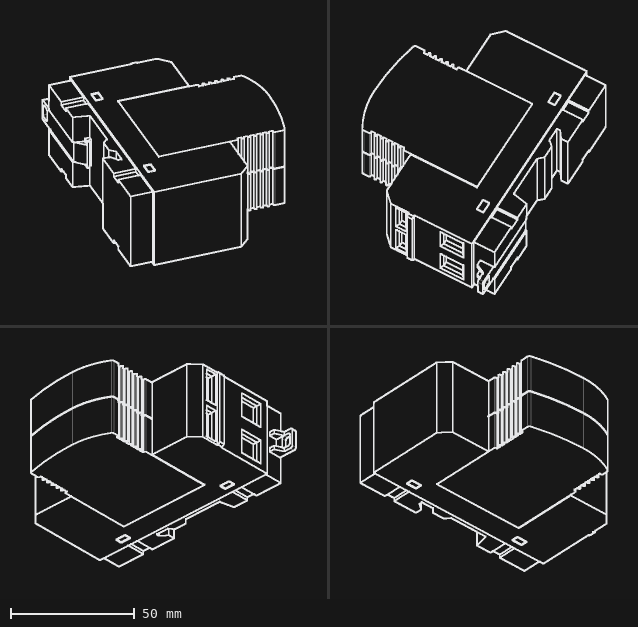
import cadquery as cq
import math


TOTAL_LENGTH = 100.5
TOTAL_HEIGHT = 79.5
WIDTH = 35.0
POLE_SIGNS = (-1, 1)

HOUSING_LENGTH = 93.2
HOUSING_BOTTOM = 9.6
HOUSING_TOP = 52.0
TOP_CHAMFER = 4.5
HOUSING_LEFT = -HOUSING_LENGTH / 2

PLUG_LENGTH = 44.7
PLUG_BOTTOM = 21.1
PLUG_GAP = 0.3
CROWN_X = -4.3
CROWN_RADIUS_LEFT = 36.2
CROWN_RADIUS_RIGHT = 102.5
CROWN_CORNER_RADIUS = 1.1
GRIP_TOP = 71.1
GRIP_DEPTH = 1.2
GRIP_GROOVE = 1.8
GRIP_RIB = 0.9
GRIP_PITCH = GRIP_GROOVE + GRIP_RIB
GRIP_COUNT = 6
GRIP_EDGE_RADIUS = 0.44
RECESS_CLEARANCE = 0.3

FOOT_END_INSET = 1.5
FOOT_SIDE_INSET = 0.75
FOOT_WIDTH = WIDTH - 2 * FOOT_SIDE_INSET
FOOT_LEFT = HOUSING_LEFT + FOOT_END_INSET
FOOT_RIGHT = -FOOT_LEFT

RAIL_CEILING = 6.9
RAIL_LEFT_BOTTOM = -19.0
RAIL_LEFT_TOP = -17.5
RAIL_RIGHT = 17.6
LIP_X = 14.4
LIP_HEIGHT = 3.1
LIP_SLOPE_TOP = 5.4
BUMP_CENTRE = 6.4
BUMP_BOTTOM = 4.6
BUMP_TIP_LENGTH = 5.8
BUMP_ROOT_LENGTH = 10

SNAP_X = 28.9
SNAP_LENGTH = 5
WINDOW_BOTTOM = 13.1
WINDOW_HEIGHT = 3
NOTCH_DEPTH = 1.5
WINDOW_DEPTH = 0.4

BAR_DEPTH = 1.5
BAR_BOTTOM = 36.6
BAR_HEIGHT = 2.4
BAR_CHAMFER = 1

TERMINAL_Z = 8.7
SCREW_CENTRE_Y = 42.5
SCREW_HEIGHT = 5.2
SCREW_WIDTH = 14.9
WIRE_CENTRE_Y = 19.0
WIRE_HEIGHT = 11.1
WIRE_WIDTH = 11.3
FUNNEL_INSET = 1.1
FUNNEL_DEPTH = FUNNEL_INSET
TERMINAL_DEPTH = 3

CLIP_WIDTH = 9.4
CLIP_LEFT = HOUSING_LENGTH / 2 - TOTAL_LENGTH
CLIP_BOTTOM = 0.5
CLIP_THICKNESS = 2.2
CLIP_CORNER_RADIUS = 1
EYE_LEFT = -52.6
EYE_LENGTH = 4.2
EYE_WIDTH = 5.9
EYE_CORNER_RADIUS = 1
RIB_TOP = 6.6
RIB_WIDTH = 1.8
RIB_FOOT_X = -49.4
RIB_TOP_X = -47.5
HOOK_WIDTH = 12.5
HOOK_TIP_X = -14.8
HOOK_BOTTOM = 4.8
HOOK_TIP_TOP = 5.7
HOOK_STEP_X = -16.0

CUT_MARGIN = 1
GRIP_MARGIN = 0.1


def prism(points, z_width, z_centre=0):
    """Extrude an XY outline across Z, centred on z_centre."""
    outline = cq.Workplane("XY").polyline(points).close()
    return outline.extrude(z_width / 2, both=True).translate((0, 0, z_centre))


def block(x_min, x_max, y_min, y_max, z_width, z_centre=0):
    """Box given by its X and Y limits, centred on z_centre."""
    box = cq.Workplane("XY").box(x_max - x_min, y_max - y_min, z_width)
    return box.translate(((x_min + x_max) / 2, (y_min + y_max) / 2, z_centre))


def rail_wall_x(y):
    """X of the sloping left wall of the rail opening at height y."""
    return RAIL_LEFT_BOTTOM + (RAIL_LEFT_TOP - RAIL_LEFT_BOTTOM) * y / RAIL_CEILING


def make_housing_block():
    shell = block(HOUSING_LEFT, -HOUSING_LEFT, HOUSING_BOTTOM, HOUSING_TOP, WIDTH)
    shell = shell.edges("|Z and >Y").chamfer(TOP_CHAMFER)
    recess = block(
        -PLUG_LENGTH / 2 - RECESS_CLEARANCE,
        PLUG_LENGTH / 2,
        PLUG_BOTTOM,
        HOUSING_TOP + CUT_MARGIN,
        WIDTH + CUT_MARGIN,
    )
    return shell.cut(recess)


def make_foot():
    bump_root = BUMP_ROOT_LENGTH / 2
    bump_tip = BUMP_TIP_LENGTH / 2
    return prism(
        [
            (FOOT_LEFT, HOUSING_BOTTOM),
            (FOOT_LEFT, 0),
            (RAIL_LEFT_BOTTOM, 0),
            (RAIL_LEFT_TOP, RAIL_CEILING),
            (BUMP_CENTRE - bump_root, RAIL_CEILING),
            (BUMP_CENTRE - bump_tip, BUMP_BOTTOM),
            (BUMP_CENTRE + bump_tip, BUMP_BOTTOM),
            (BUMP_CENTRE + bump_root, RAIL_CEILING),
            (RAIL_RIGHT, RAIL_CEILING),
            (RAIL_RIGHT, LIP_SLOPE_TOP),
            (LIP_X, LIP_HEIGHT),
            (LIP_X, 0),
            (FOOT_RIGHT, 0),
            (FOOT_RIGHT, HOUSING_BOTTOM),
        ],
        FOOT_WIDTH,
    )


def make_snap_cuts():
    """Foot notches and housing windows, on both sides and near both ends."""
    cuts = cq.Workplane("XY")
    for x_sign in (-1, 1):
        x_min = x_sign * SNAP_X - SNAP_LENGTH / 2
        x_max = x_min + SNAP_LENGTH
        for z_sign in (-1, 1):
            notch = block(x_min, x_max, 0, HOUSING_BOTTOM, 2 * NOTCH_DEPTH, z_sign * FOOT_WIDTH / 2)
            window = block(
                x_min,
                x_max,
                WINDOW_BOTTOM,
                WINDOW_BOTTOM + WINDOW_HEIGHT,
                2 * WINDOW_DEPTH,
                z_sign * WIDTH / 2,
            )
            cuts = cuts.add(notch).add(window)
    return cuts.combine()


def make_marking_bar():
    bar = block(HOUSING_LEFT - BAR_DEPTH, HOUSING_LEFT, BAR_BOTTOM, BAR_BOTTOM + BAR_HEIGHT, WIDTH)
    return bar.edges("|Y and <X").chamfer(BAR_CHAMFER)


def make_terminal_opening(y_centre, z_centre, height, width):
    """Funnel-mouthed rectangular pocket, cut inward from the left end."""
    mouth_plane = cq.Plane(origin=(HOUSING_LEFT, y_centre, z_centre), xDir=(0, 1, 0), normal=(1, 0, 0))
    inner_height = height - 2 * FUNNEL_INSET
    inner_width = width - 2 * FUNNEL_INSET
    funnel = (
        cq.Workplane(mouth_plane)
        .rect(height, width)
        .workplane(offset=FUNNEL_DEPTH)
        .rect(inner_height, inner_width)
        .loft(ruled=True)
    )
    shaft = cq.Workplane(mouth_plane).rect(inner_height, inner_width).extrude(TERMINAL_DEPTH)
    return funnel.union(shaft)


def make_clip_channel():
    """Shallow channel under the foot that sets the clip bar back from the underside."""
    return block(FOOT_LEFT, RAIL_LEFT_TOP, 0, CLIP_BOTTOM, CLIP_WIDTH)


def make_clip():
    """Outer pull tab with its eye and side ribs, and the hook in the rail opening."""
    tab = block(CLIP_LEFT, FOOT_LEFT, CLIP_BOTTOM, CLIP_BOTTOM + CLIP_THICKNESS, CLIP_WIDTH)
    tab = tab.edges("|Y and <X").fillet(CLIP_CORNER_RADIUS)
    eye = block(EYE_LEFT, EYE_LEFT + EYE_LENGTH, 0, RIB_TOP, EYE_WIDTH)
    eye = eye.edges("|Y").fillet(EYE_CORNER_RADIUS)
    clip = tab.cut(eye)

    rib_outline = [
        (RIB_FOOT_X, CLIP_BOTTOM + CLIP_THICKNESS),
        (FOOT_LEFT, CLIP_BOTTOM + CLIP_THICKNESS),
        (FOOT_LEFT, RIB_TOP),
        (RIB_TOP_X, RIB_TOP),
    ]
    for z_sign in (-1, 1):
        clip = clip.union(prism(rib_outline, RIB_WIDTH, z_sign * (CLIP_WIDTH - RIB_WIDTH) / 2))

    hook = prism(
        [
            (rail_wall_x(HOOK_BOTTOM), HOOK_BOTTOM),
            (HOOK_TIP_X, HOOK_BOTTOM),
            (HOOK_TIP_X, HOOK_TIP_TOP),
            (HOOK_STEP_X, HOOK_TIP_TOP),
            (HOOK_STEP_X, RAIL_CEILING),
            (RAIL_LEFT_TOP, RAIL_CEILING),
        ],
        HOOK_WIDTH,
    )
    wedge = prism(
        [
            (rail_wall_x(CLIP_BOTTOM), CLIP_BOTTOM),
            (HOOK_TIP_X, HOOK_BOTTOM),
            (rail_wall_x(HOOK_BOTTOM), HOOK_BOTTOM),
        ],
        CLIP_WIDTH,
    )
    return clip.union(hook).union(wedge)


def make_housing():
    housing = make_housing_block().union(make_foot()).cut(make_snap_cuts())
    housing = housing.union(make_marking_bar())
    for pole in POLE_SIGNS:
        z_centre = pole * TERMINAL_Z
        screw_opening = make_terminal_opening(SCREW_CENTRE_Y, z_centre, SCREW_HEIGHT, SCREW_WIDTH)
        wire_opening = make_terminal_opening(WIRE_CENTRE_Y, z_centre, WIRE_HEIGHT, WIRE_WIDTH)
        housing = housing.cut(screw_opening).cut(wire_opening)
    return housing.cut(make_clip_channel()).union(make_clip())


def crown_point(x, radius):
    """Point at x on a crown arc whose centre lies straight below the crown's peak."""
    drop = radius - math.sqrt(radius**2 - (x - CROWN_X) ** 2)
    return (x, TOTAL_HEIGHT - drop)


def cut_grips(plug):
    """Cut the finger-grip grooves in both ends of a plug and round their outer edges."""
    ends = (-PLUG_LENGTH / 2, PLUG_LENGTH / 2)
    for index in range(GRIP_COUNT):
        groove_top = GRIP_TOP - index * GRIP_PITCH
        for end in ends:
            groove = block(
                end - GRIP_DEPTH,
                end + GRIP_DEPTH,
                groove_top - GRIP_GROOVE,
                groove_top,
                WIDTH,
            )
            plug = plug.cut(groove)
    grip_bottom = GRIP_TOP - (GRIP_COUNT - 1) * GRIP_PITCH - GRIP_GROOVE
    for end in ends:
        outer_edges = cq.selectors.BoxSelector(
            (end - GRIP_MARGIN, grip_bottom - GRIP_MARGIN, -WIDTH),
            (end + GRIP_MARGIN, GRIP_TOP + GRIP_MARGIN, WIDTH),
        )
        plug = plug.edges("|Z").edges(outer_edges).fillet(GRIP_EDGE_RADIUS)
    return plug


def make_plug(pole):
    """One plug module, with a two-arc crown and finger-grip grooves in both ends."""
    right = PLUG_LENGTH / 2
    left = -right
    plug_width = (WIDTH - PLUG_GAP) / 2
    plug = (
        cq.Workplane("XY")
        .moveTo(right, PLUG_BOTTOM)
        .lineTo(*crown_point(right, CROWN_RADIUS_RIGHT))
        .threePointArc(
            crown_point((right + CROWN_X) / 2, CROWN_RADIUS_RIGHT),
            (CROWN_X, TOTAL_HEIGHT),
        )
        .threePointArc(
            crown_point((left + CROWN_X) / 2, CROWN_RADIUS_LEFT),
            crown_point(left, CROWN_RADIUS_LEFT),
        )
        .lineTo(left, PLUG_BOTTOM)
        .close()
        .extrude(plug_width / 2, both=True)
    )
    plug = plug.edges("|Z and (<X or >X)").edges("not <Y").fillet(CROWN_CORNER_RADIUS)
    plug = cut_grips(plug)
    return plug.translate((0, 0, pole * (WIDTH - plug_width) / 2))


housing = make_housing()
plugs = [make_plug(pole) for pole in POLE_SIGNS]

result = cq.Compound.makeCompound([housing.val(), *[plug.val() for plug in plugs]])